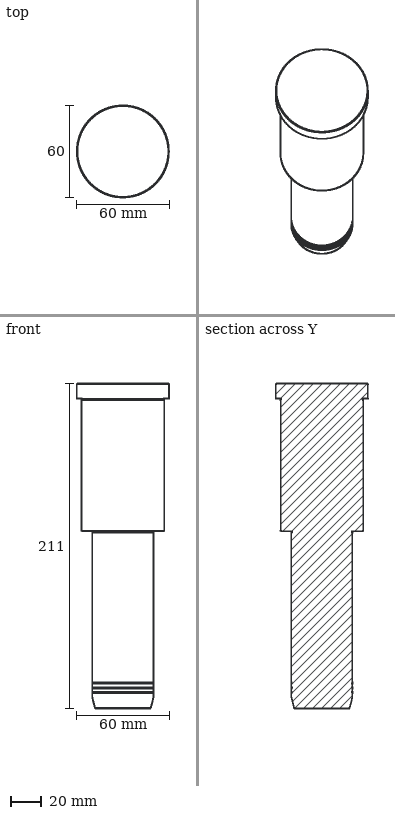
import cadquery as cq
import math

total_height = 211.0
head_height = 10.0
body_bottom = 115.0
tip_height = 8.0

head_radius = 30.0
body_radius = 27.0
shank_radius = 20.0
tip_end_radius = 18.1

head_chamfer = 0.5
body_chamfer = 0.5
tip_chamfer = 0.5

tip_bulge = 0.1

relief_width = 1.0
relief_depth = 0.5

groove_count = 3
groove_width = 1.0
groove_depth = 0.5
groove_spacing = 2.0

head_bottom = total_height - head_height


def turned(profile):
    """Revolve a closed radius-height profile about the Z axis."""
    return profile.close().revolve(360, (0, 0, 0), (0, 1, 0))


def stepped_pin():
    """Head, body, shank and curved tip as one turned solid."""
    taper = shank_radius - tip_end_radius
    curve_height = tip_height - tip_chamfer
    chord = math.hypot(taper, curve_height)
    curve_middle = (
        (shank_radius + tip_end_radius) / 2 + tip_bulge * curve_height / chord,
        (tip_height + tip_chamfer) / 2 - tip_bulge * taper / chord,
    )
    profile = (
        cq.Workplane("XZ")
        .lineTo(tip_end_radius - tip_chamfer, 0)
        .lineTo(tip_end_radius, tip_chamfer)
        .threePointArc(curve_middle, (shank_radius, tip_height))
        .lineTo(shank_radius, body_bottom)
        .lineTo(body_radius - body_chamfer, body_bottom)
        .lineTo(body_radius, body_bottom + body_chamfer)
        .lineTo(body_radius, head_bottom)
        .lineTo(head_radius, head_bottom)
        .lineTo(head_radius, total_height - head_chamfer)
        .lineTo(head_radius - head_chamfer, total_height)
        .lineTo(0, total_height)
    )
    return turned(profile)


def relief_groove(radius, shoulder):
    """Cutter under a shoulder: square against it, sloping back out at the lower end."""
    floor = radius - relief_depth
    profile = (
        cq.Workplane("XZ")
        .moveTo(radius, shoulder)
        .lineTo(floor, shoulder)
        .lineTo(floor, shoulder - relief_width + relief_depth)
        .lineTo(radius, shoulder - relief_width)
    )
    return turned(profile)


def ring_groove(bottom):
    """V-shaped cutter around the shank."""
    profile = (
        cq.Workplane("XZ")
        .moveTo(shank_radius, bottom)
        .lineTo(shank_radius - groove_depth, bottom + groove_width / 2)
        .lineTo(shank_radius, bottom + groove_width)
    )
    return turned(profile)


result = stepped_pin()
result = result.cut(relief_groove(body_radius, head_bottom))
result = result.cut(relief_groove(shank_radius, body_bottom))

for index in range(groove_count):
    groove_bottom = tip_height + groove_spacing + index * (groove_width + groove_spacing)
    result = result.cut(ring_groove(groove_bottom))